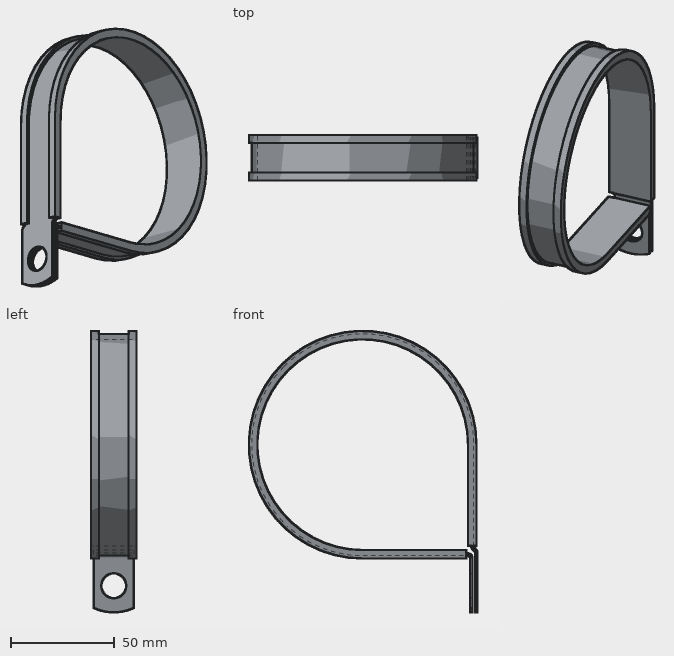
import cadquery as cq
import math

cushion_width = 22.1
loop_radius = 55.0
cushion_thickness = 4.2
lip_thickness = 1.4
groove_width = 14.3
side_end_z = -48.8
bottom_end_x = 50.1

strap_width = 19.4
strap_thickness = 1.25
tab_outer_x = 55.51
tab_gap = 1.2
tab_bottom_z = -81.02
tab_end_radius = 23.0
hole_diameter = 11.9
hole_z = -68.1
corner_bend_radius = 1.3
jog_bend_radius = 1.4
jog_angle = math.radians(45)

diagonal = math.cos(math.radians(45))
strap_radius = loop_radius - lip_thickness
strap_inner_radius = strap_radius - strap_thickness
inner_tab_outer_x = tab_outer_x - strap_thickness - tab_gap


def loop_band(outer_radius, thickness, width):
    """Three-quarter ring with tangent legs running down on the right and right along the bottom."""
    inner_radius = outer_radius - thickness
    return (
        cq.Workplane("XZ")
        .moveTo(outer_radius, side_end_z)
        .lineTo(outer_radius, 0)
        .threePointArc((-outer_radius * diagonal, outer_radius * diagonal), (0, -outer_radius))
        .lineTo(bottom_end_x, -outer_radius)
        .lineTo(bottom_end_x, -inner_radius)
        .lineTo(0, -inner_radius)
        .threePointArc((-inner_radius * diagonal, inner_radius * diagonal), (inner_radius, 0))
        .lineTo(inner_radius, side_end_z)
        .close()
        .extrude(width / 2, both=True)
    )


def make_cushion():
    """Rubber loop with a groove between its two outer lips; the groove floor is the strap."""
    groove = loop_band(loop_radius, lip_thickness, groove_width)
    return loop_band(loop_radius, cushion_thickness, cushion_width).cut(groove)


def make_inner_tab():
    """Strap end that leaves the horizontal leg and turns down through a right angle."""
    outer_bend_radius = corner_bend_radius + strap_thickness
    bend_x = inner_tab_outer_x - outer_bend_radius
    bend_z = -strap_inner_radius - outer_bend_radius
    outer_mid = (bend_x + outer_bend_radius * diagonal, bend_z + outer_bend_radius * diagonal)
    inner_mid = (bend_x + corner_bend_radius * diagonal, bend_z + corner_bend_radius * diagonal)
    return (
        cq.Workplane("XZ")
        .moveTo(bottom_end_x, -strap_inner_radius)
        .lineTo(bend_x, -strap_inner_radius)
        .threePointArc(outer_mid, (inner_tab_outer_x, bend_z))
        .lineTo(inner_tab_outer_x, tab_bottom_z)
        .lineTo(inner_tab_outer_x - strap_thickness, tab_bottom_z)
        .lineTo(inner_tab_outer_x - strap_thickness, bend_z)
        .threePointArc(inner_mid, (bend_x, -strap_radius))
        .lineTo(bottom_end_x, -strap_radius)
        .close()
        .extrude(strap_width / 2, both=True)
    )


def make_outer_tab():
    """Strap end that leaves the vertical leg and jogs outward before running down."""
    jog_offset = tab_outer_x - strap_radius
    outer_bend_radius = jog_bend_radius + strap_thickness
    bend_radii = jog_bend_radius + outer_bend_radius
    slope_length = (jog_offset - bend_radii * (1 - math.cos(jog_angle))) / math.sin(jog_angle)
    jog_height = bend_radii * math.sin(jog_angle) + slope_length * math.cos(jog_angle)

    upper_center_x = strap_radius + jog_bend_radius
    upper_center_z = side_end_z
    lower_center_x = tab_outer_x - outer_bend_radius
    lower_center_z = side_end_z - jog_height

    def upper_point(radius, angle):
        return (upper_center_x - radius * math.cos(angle), upper_center_z - radius * math.sin(angle))

    def lower_point(radius, angle):
        return (lower_center_x + radius * math.cos(angle), lower_center_z + radius * math.sin(angle))

    half_angle = jog_angle / 2
    return (
        cq.Workplane("XZ")
        .moveTo(*upper_point(jog_bend_radius, 0))
        .threePointArc(upper_point(jog_bend_radius, half_angle), upper_point(jog_bend_radius, jog_angle))
        .lineTo(*lower_point(outer_bend_radius, jog_angle))
        .threePointArc(lower_point(outer_bend_radius, half_angle), lower_point(outer_bend_radius, 0))
        .lineTo(tab_outer_x, tab_bottom_z)
        .lineTo(tab_outer_x - strap_thickness, tab_bottom_z)
        .lineTo(*lower_point(jog_bend_radius, 0))
        .threePointArc(lower_point(jog_bend_radius, half_angle), lower_point(jog_bend_radius, jog_angle))
        .lineTo(*upper_point(outer_bend_radius, jog_angle))
        .threePointArc(upper_point(outer_bend_radius, half_angle), upper_point(outer_bend_radius, 0))
        .close()
        .extrude(strap_width / 2, both=True)
    )


def make_tab_envelope():
    """Block over both tabs with the rounded lower end and the bolt hole."""
    half_width = strap_width / 2
    end_rise = tab_end_radius - math.sqrt(tab_end_radius**2 - half_width**2)
    corner_z = tab_bottom_z + end_rise
    return (
        cq.Workplane("YZ")
        .moveTo(-half_width, 0)
        .lineTo(-half_width, corner_z)
        .threePointArc((0, tab_bottom_z), (half_width, corner_z))
        .lineTo(half_width, 0)
        .close()
        .moveTo(0, hole_z)
        .circle(hole_diameter / 2)
        .extrude(tab_outer_x)
    )


tabs = make_inner_tab().union(make_outer_tab()).intersect(make_tab_envelope())
strap = loop_band(strap_radius, strap_thickness, strap_width).union(tabs)
result = make_cushion().union(strap)